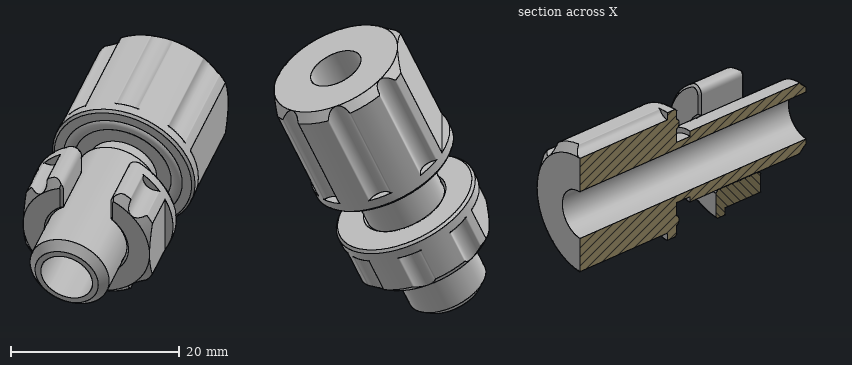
import cadquery as cq
import math

outer_radius = 9.0
grip_depth = 1.0
inner_radius = outer_radius - grip_depth
flute_radius = 1.5
flute_lip_radius = 0.2
flute_angles = [45, 90, 135, 225, 270, 315]
flange_thickness = 1.5
cutter_margin = 1.75

fitting_length = 35.0
shaft_radius = 5.0
shaft_tip_chamfer = 1.0
shaft_end = 18.0
neck_radius = 4.27
bore_radius = 3.25
head_start = 20.0
head_rim_chamfer = 0.3

bead_ring_radius = 6.8
bead_half_width = 0.7
bead_height = 0.4

nut_start = 7.0
nut_end = 14.0
nut_edge_chamfer = 0.3
slot_half_width = 3.0
slot_corner_radius = 1.0


def cylinder(radius, start, end):
    """Solid cylinder on the Y axis between two Y positions."""
    return cq.Workplane("XZ", origin=(0, start, 0)).circle(radius).extrude(start - end)


def flute_cutter(start, end):
    """Cutter for one flute at the +Z side, with lips rounded tangent to the outer cylinder."""
    flute_center = inner_radius + flute_radius
    lip_distance = outer_radius - flute_lip_radius
    lip_reach = flute_radius + flute_lip_radius
    lip_z = (flute_center**2 + lip_distance**2 - lip_reach**2) / (2 * flute_center)
    lip_x = math.sqrt(lip_distance**2 - lip_z**2)

    outer_angle = math.atan2(lip_z, lip_x)
    inner_angle = math.atan2(flute_center - lip_z, -lip_x)
    middle_angle = (outer_angle + inner_angle) / 2

    def lip_point(angle):
        return (
            lip_x + flute_lip_radius * math.cos(angle),
            lip_z + flute_lip_radius * math.sin(angle),
        )

    def mirrored(point):
        return (-point[0], point[1])

    lip_outer = lip_point(outer_angle)
    lip_middle = lip_point(middle_angle)
    lip_inner = lip_point(inner_angle)
    top = outer_radius + cutter_margin
    return (
        cq.Workplane("XZ", origin=(0, start, 0))
        .moveTo(lip_outer[0], top)
        .lineTo(*lip_outer)
        .threePointArc(lip_middle, lip_inner)
        .threePointArc((0, inner_radius), mirrored(lip_inner))
        .threePointArc(mirrored(lip_middle), mirrored(lip_outer))
        .lineTo(-lip_outer[0], top)
        .close()
        .extrude(start - end)
    )


def cut_grip(body, start, end):
    """Cut the flutes and the two side flats between two Y positions."""
    flute = flute_cutter(start, end)
    for angle in flute_angles:
        body = body.cut(flute.rotate((0, 0, 0), (0, 1, 0), angle - 90))
    flat = cq.Workplane("XY").box(
        cutter_margin, end - start, 2 * outer_radius, centered=(False, False, True)
    )
    body = body.cut(flat.translate((inner_radius, start, 0)))
    return body.cut(flat.translate((-inner_radius - cutter_margin, start, 0)))


def make_bead():
    """Bead ring whose crest stands proud of the head's face."""
    section_radius = (bead_half_width**2 + bead_height**2) / (2 * bead_height)
    section_center_y = head_start - bead_height + section_radius
    return (
        cq.Workplane("XY")
        .center(bead_ring_radius, section_center_y)
        .circle(section_radius)
        .revolve(360, (-bead_ring_radius, 0), (-bead_ring_radius, 1))
    )


def make_fitting():
    head = cylinder(outer_radius, head_start, fitting_length)
    head = head.faces("<Y").chamfer(head_rim_chamfer)
    head = head.faces(">Y").chamfer(grip_depth)
    head = cut_grip(head, head_start + flange_thickness, fitting_length)
    shaft = cylinder(shaft_radius, 0, shaft_end).faces("<Y").chamfer(shaft_tip_chamfer)
    neck = cylinder(neck_radius, shaft_end, head_start)
    body = head.union(make_bead()).union(neck).union(shaft)
    return body.cut(cylinder(bore_radius, 0, fitting_length))


def make_nut():
    body = cylinder(outer_radius, nut_start, nut_end)
    body = body.cut(cylinder(shaft_radius, nut_start, nut_end))

    slot = cq.Workplane("XY").box(
        2 * slot_half_width, nut_end - nut_start, outer_radius, centered=(True, False, False)
    )
    body = body.cut(slot.translate((0, nut_start, 0)))
    body = body.edges("|Y").edges(">Z").fillet(slot_corner_radius)

    body = body.faces("<Y or >Y").chamfer(nut_edge_chamfer)
    envelope = cylinder(outer_radius, nut_start, nut_end).faces("<Y").chamfer(grip_depth)
    body = body.intersect(envelope)
    return cut_grip(body, nut_start, nut_end - flange_thickness)


fitting = make_fitting()
nut = make_nut()
result = cq.Compound.makeCompound([fitting.val(), nut.val()])